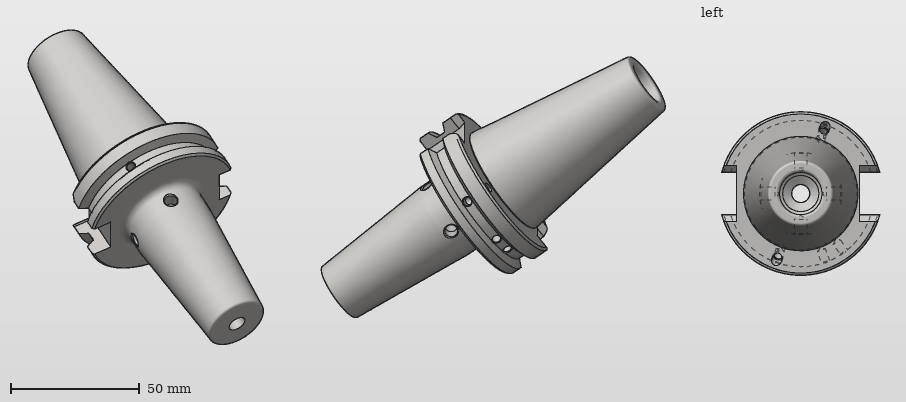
import cadquery as cq
import math

TAPER_LENGTH = 68.26
NOSE_END = 80.0
FLANGE_BACK = 1.15
FLANGE_FRONT = 19.1
GROOVE_CENTER = 11.1
NOSE_CYLINDER_END = 29.2

NECK_RADIUS = 44.45 / 2
NECK_RELIEF = 0.4
TAPER_END_RADIUS = 12.5
TAPER_END_ROUND = 1.1

FLANGE_RADIUS = 63.5 / 2
FLANGE_BACK_ROUND = 0.9
FLANGE_FRONT_CHAMFER = 0.8
GROOVE_BOTTOM_RADIUS = 28.4
GROOVE_BOTTOM_WIDTH = 3.75
GROOVE_TOP_WIDTH = 7.1

NOSE_RADIUS = 16.0
NOSE_TIP_RADIUS = 12.0
NOSE_ROOT_FILLET = 3.0
NOSE_TIP_ROUND = 1.0

SLOT_WIDTH = 16.35
SLOT_FLOOR_PLUS_Y = 25.0
SLOT_FLOOR_MINUS_Y = 22.8
SLOT_MOUTH_CHAMFER = 2.7

THROUGH_RADIUS = 3.45
COUNTERBORE_RADIUS = 8.2
COUNTERBORE_DEPTH = 5.0
COUNTERBORE_RIM_ROUND = 1.3
THREAD_RADIUS = 7.0
THREAD_DEPTH = 30.0
DRILL_HALF_ANGLE = math.radians(59)

NOSE_HOLE_RADIUS = 2.5
NOSE_HOLE_MOUTH_RADIUS = 3.05
NOSE_HOLE_DEPTH = 6.0
NOSE_HOLE_STATION = 25.9
NOSE_HOLE_ANGLES = (0, 90, 180, 270)
GROOVE_HOLE_RADIUS = 1.65
GROOVE_HOLE_MOUTH_RADIUS = 2.0
GROOVE_HOLE_DEPTH = 5.0
GROOVE_HOLE_ANGLES = (20, 143.5, 160, 200)

COOLANT_HOLE_RADIUS = 1.65
COOLANT_MOUTH_RADIUS = 2.0
COOLANT_MOUTH_DEPTH = 2.6
COOLANT_CIRCLE_RADIUS = 27.15
COOLANT_HOLE_DEPTH = 8.0
COOLANT_HOLE_SLOPE = 35.0
COOLANT_HOLE_ANGLES = (20, 200)


def revolve_about_x(profile):
    """Full turn of a closed XY profile about the X axis."""
    return profile.close().revolve(360, (0, 0, 0), (1, 0, 0))


def make_body():
    groove_bottom_back = GROOVE_CENTER - GROOVE_BOTTOM_WIDTH / 2
    groove_bottom_front = GROOVE_CENTER + GROOVE_BOTTOM_WIDTH / 2
    groove_top_back = GROOVE_CENTER - GROOVE_TOP_WIDTH / 2
    groove_top_front = GROOVE_CENTER + GROOVE_TOP_WIDTH / 2
    back_face_radius = FLANGE_RADIUS - FLANGE_BACK_ROUND
    body = revolve_about_x(
        cq.Workplane("XY")
        .moveTo(-TAPER_LENGTH, 0)
        .lineTo(-TAPER_LENGTH, TAPER_END_RADIUS)
        .lineTo(0, NECK_RADIUS)
        .lineTo(FLANGE_BACK - NECK_RELIEF, NECK_RADIUS)
        .lineTo(FLANGE_BACK, NECK_RADIUS - NECK_RELIEF)
        .lineTo(FLANGE_BACK, back_face_radius)
        .tangentArcPoint((FLANGE_BACK + FLANGE_BACK_ROUND, FLANGE_RADIUS), relative=False)
        .lineTo(groove_top_back, FLANGE_RADIUS)
        .lineTo(groove_bottom_back, GROOVE_BOTTOM_RADIUS)
        .lineTo(groove_bottom_front, GROOVE_BOTTOM_RADIUS)
        .lineTo(groove_top_front, FLANGE_RADIUS)
        .lineTo(FLANGE_FRONT - FLANGE_FRONT_CHAMFER, FLANGE_RADIUS)
        .lineTo(FLANGE_FRONT, FLANGE_RADIUS - FLANGE_FRONT_CHAMFER)
        .lineTo(FLANGE_FRONT, NOSE_RADIUS + NOSE_ROOT_FILLET)
        .tangentArcPoint((FLANGE_FRONT + NOSE_ROOT_FILLET, NOSE_RADIUS), relative=False)
        .lineTo(NOSE_CYLINDER_END, NOSE_RADIUS)
        .lineTo(NOSE_END, NOSE_TIP_RADIUS)
        .lineTo(NOSE_END, 0)
    )
    body = body.faces("<X").edges().fillet(TAPER_END_ROUND)
    return body.faces(">X").edges().fillet(NOSE_TIP_ROUND)


def make_bore():
    rim_center = (COUNTERBORE_RIM_ROUND - TAPER_LENGTH, COUNTERBORE_RADIUS + COUNTERBORE_RIM_ROUND)
    rim_offset = COUNTERBORE_RIM_ROUND * math.sqrt(0.5)
    ledge_length = (COUNTERBORE_RADIUS - THREAD_RADIUS) / math.tan(DRILL_HALF_ANGLE)
    cone_length = (THREAD_RADIUS - THROUGH_RADIUS) / math.tan(DRILL_HALF_ANGLE)
    counterbore_end = COUNTERBORE_DEPTH - TAPER_LENGTH
    thread_end = THREAD_DEPTH - TAPER_LENGTH
    return revolve_about_x(
        cq.Workplane("XY")
        .moveTo(-TAPER_LENGTH, 0)
        .lineTo(-TAPER_LENGTH, rim_center[1])
        .threePointArc(
            (rim_center[0] - rim_offset, rim_center[1] - rim_offset),
            (rim_center[0], COUNTERBORE_RADIUS),
        )
        .lineTo(counterbore_end, COUNTERBORE_RADIUS)
        .lineTo(counterbore_end + ledge_length, THREAD_RADIUS)
        .lineTo(thread_end, THREAD_RADIUS)
        .lineTo(thread_end + cone_length, THROUGH_RADIUS)
        .lineTo(NOSE_END, THROUGH_RADIUS)
        .lineTo(NOSE_END, 0)
    )


def drive_slot(side, floor):
    """Slot on the +Y (side=1) or -Y (side=-1) edge of the flange, flared at the back face."""
    half_width = SLOT_WIDTH / 2
    mouth = half_width + SLOT_MOUTH_CHAMFER
    flare_end = FLANGE_BACK + SLOT_MOUTH_CHAMFER
    return (
        cq.Workplane("XZ", origin=(0, side * floor, 0))
        .moveTo(FLANGE_BACK, -mouth)
        .lineTo(flare_end, -half_width)
        .lineTo(FLANGE_FRONT, -half_width)
        .lineTo(FLANGE_FRONT, half_width)
        .lineTo(flare_end, half_width)
        .lineTo(FLANGE_BACK, mouth)
        .close()
        .extrude(-side * FLANGE_RADIUS)
    )


def blind_drill(radius, depth, mouth_radius, mouth_depth=0):
    """Drill shape pointing to -Z, extended outward beyond its mouth at Z = 0.

    The wider mouth runs straight for mouth_depth, then narrows at 45 degrees to the drill radius.
    """
    point_length = radius / math.tan(DRILL_HALF_ANGLE)
    countersink_end = mouth_depth + mouth_radius - radius
    return (
        cq.Workplane("XZ")
        .moveTo(0, -depth - point_length)
        .lineTo(radius, -depth)
        .lineTo(radius, -countersink_end)
        .lineTo(mouth_radius, -mouth_depth)
        .lineTo(mouth_radius, 2 * mouth_radius)
        .lineTo(0, 2 * mouth_radius)
        .close()
        .revolve(360, (0, 0, 0), (0, 1, 0))
    )


def place_around_axis(tool, station, radius, angle):
    """Move a tool to a station and radius on +Z, then turn it about X from +Z toward -Y."""
    return tool.translate((station, 0, radius)).rotate((0, 0, 0), (1, 0, 0), angle)


def cut_hole_ring(part, tool, station, radius, angles):
    for angle in angles:
        part = part.cut(place_around_axis(tool, station, radius, angle))
    return part


nose_drill = blind_drill(NOSE_HOLE_RADIUS, NOSE_HOLE_DEPTH, NOSE_HOLE_MOUTH_RADIUS)
groove_drill = blind_drill(GROOVE_HOLE_RADIUS, GROOVE_HOLE_DEPTH, GROOVE_HOLE_MOUTH_RADIUS)
coolant_drill = blind_drill(
    COOLANT_HOLE_RADIUS, COOLANT_HOLE_DEPTH, COOLANT_MOUTH_RADIUS, COOLANT_MOUTH_DEPTH
)
coolant_drill = coolant_drill.rotate((0, 0, 0), (0, 1, 0), COOLANT_HOLE_SLOPE - 90)

result = make_body().cut(make_bore())
result = result.cut(drive_slot(1, SLOT_FLOOR_PLUS_Y))
result = result.cut(drive_slot(-1, SLOT_FLOOR_MINUS_Y))
result = cut_hole_ring(result, nose_drill, NOSE_HOLE_STATION, NOSE_RADIUS, NOSE_HOLE_ANGLES)
result = cut_hole_ring(result, groove_drill, GROOVE_CENTER, GROOVE_BOTTOM_RADIUS, GROOVE_HOLE_ANGLES)
result = cut_hole_ring(result, coolant_drill, FLANGE_BACK, COOLANT_CIRCLE_RADIUS, COOLANT_HOLE_ANGLES)